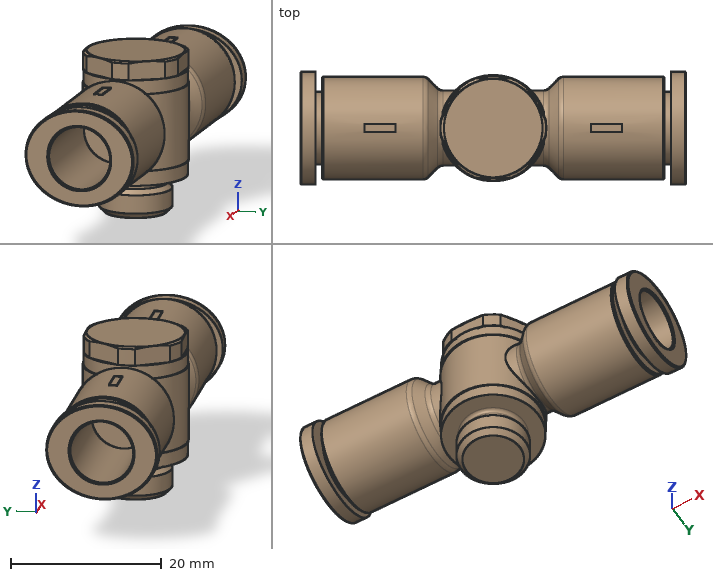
import cadquery as cq
import math

total_height = 22.0
seat_z = 5.1
lower_band_z = 7.1
upper_band_z = 17.6
hex_base_z = 19.5
port_axis_z = 13.0

body_radius = 7.05
band_radius = 6.95

hex_across_flats = 13.2
head_radius = body_radius
head_top_radius = 6.55
head_chamfer_height = 0.2

stem_radius = 4.9
stem_end_chamfer = 0.8
relief_radius = 4.2
relief_fillet = 0.5
relief_bottom_z = 4.0

port_end_x = 22.75
port_radius = 6.85
port_edge_chamfer = 0.2
cone_start_x = 8.95
branch_radius = 5.0
cone_fillet = 1.0
edge_search_margin = 0.1

overall_length = 51.2
collar_thickness = 2.0
collar_width = 15.0
collar_height = 13.1
collar_edge_chamfer = 0.15
collar_neck_radius = 4.85
bore_radius = 4.25
bore_depth = 16.0
bore_edge_chamfer = 0.2

mark_center_x = 15.05
mark_length = 4.1
mark_width = 1.1
mark_depth = 0.1


def cylinder(radius, bottom_z, top_z):
    return cq.Workplane("XY").workplane(offset=bottom_z).circle(radius).extrude(top_z - bottom_z)


def banjo_body():
    bands = cylinder(band_radius, seat_z, hex_base_z)
    return bands.union(cylinder(body_radius, lower_band_z, upper_band_z))


def hex_head():
    height = total_height - hex_base_z
    corner_diameter = hex_across_flats / math.cos(math.pi / 6)
    prism = cq.Workplane("XY").workplane(offset=hex_base_z).polygon(6, corner_diameter).extrude(height)
    rounding = (
        cylinder(head_radius, hex_base_z, total_height)
        .faces(">Z")
        .chamfer(head_chamfer_height, head_radius - head_top_radius)
    )
    return prism.intersect(rounding)


def threaded_stem():
    relief_top_z = seat_z - relief_fillet
    arc_drop = relief_fillet * math.sin(math.pi / 4)
    arc_middle = (
        relief_radius + relief_fillet - arc_drop,
        relief_top_z + arc_drop,
    )
    profile = (
        cq.Workplane("XZ")
        .lineTo(stem_radius - stem_end_chamfer, 0)
        .lineTo(stem_radius, stem_end_chamfer)
        .lineTo(stem_radius, relief_bottom_z - (stem_radius - relief_radius))
        .lineTo(relief_radius, relief_bottom_z)
        .lineTo(relief_radius, relief_top_z)
        .threePointArc(arc_middle, (relief_radius + relief_fillet, seat_z))
        .lineTo(0, seat_z)
        .close()
    )
    return profile.revolve(360, (0, 0, 0), (0, 1, 0))


def port_shell():
    """Port on the +X side: straight barrel, 45 degree cone and branch into the body."""
    cone_end_x = cone_start_x - (port_radius - branch_radius)
    profile = (
        cq.Workplane("XZ")
        .lineTo(0, branch_radius)
        .lineTo(cone_end_x, branch_radius)
        .lineTo(cone_start_x, port_radius)
        .lineTo(port_end_x - port_edge_chamfer, port_radius)
        .lineTo(port_end_x, port_radius - port_edge_chamfer)
        .lineTo(port_end_x, 0)
        .close()
    )
    shell = profile.revolve(360, (0, 0, 0), (1, 0, 0))
    reach = port_radius + edge_search_margin
    for x in (cone_end_x, cone_start_x):
        ring = cq.selectors.BoxSelector(
            (x - edge_search_margin, -reach, -reach),
            (x + edge_search_margin, reach, reach),
            boundingbox=True,
        )
        shell = shell.edges(ring).fillet(cone_fillet)
    return shell


def release_collar():
    end_x = overall_length / 2
    flange_x = end_x - collar_thickness
    neck = (
        cq.Workplane("YZ")
        .workplane(offset=port_end_x)
        .circle(collar_neck_radius)
        .extrude(flange_x - port_end_x)
    )
    flange = (
        cq.Workplane("YZ")
        .workplane(offset=flange_x)
        .ellipse(collar_width / 2, collar_height / 2)
        .extrude(collar_thickness)
        .faces(">X")
        .chamfer(collar_edge_chamfer)
    )
    return neck.union(flange)


def tube_bore():
    end_x = overall_length / 2
    mouth_radius = bore_radius + bore_edge_chamfer
    profile = (
        cq.Workplane("XZ")
        .moveTo(end_x, 0)
        .lineTo(end_x, mouth_radius)
        .lineTo(end_x - bore_edge_chamfer, bore_radius)
        .lineTo(end_x - bore_depth, bore_radius)
        .lineTo(end_x - bore_depth, 0)
        .close()
    )
    return profile.revolve(360, (0, 0, 0), (1, 0, 0))


def port_mark():
    cutter = cq.Workplane("XY").box(mark_length, mark_width, 2 * mark_depth)
    return cutter.translate((mark_center_x, 0, port_radius))


def tube_port():
    return port_shell().union(release_collar()).cut(tube_bore()).cut(port_mark())


result = banjo_body().union(hex_head()).union(threaded_stem())
right_port = tube_port().translate((0, 0, port_axis_z))
for turn in (0, 180):
    result = result.union(right_port.rotate((0, 0, 0), (0, 0, 1), turn))